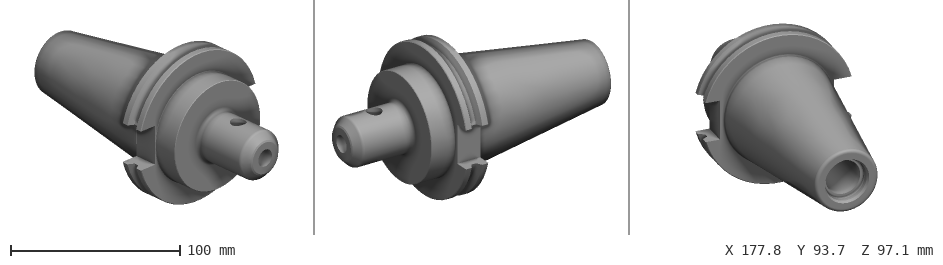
import cadquery as cq
import math

total_length = 177.8

taper_tip_radius = 20.3
tip_round = 2.1
taper_end = 102.2
neck_diameter = 70.2
neck_fillet = 0.7

flange_start = 104.5
flange_width = 16.0
flange_diameter = 97.1
flange_edge = 0.45
groove_center = 112.7
groove_mouth_width = 7.5
groove_floor_width = 3.2
groove_floor_diameter = 89.8

slot_width = 25.6
slot_floor_front = 35.2
slot_floor_back = 37.7

collar_end = 137.1
collar_diameter = 69.9
collar_edge = 0.4
collar_fillet = 0.4
shank_diameter = 31.7
shank_fillet = 2.3
nose_chamfer = 5.2
nose_blend_radius = 2.5
nose_edge = 0.5

mouth_diameter = 26.7
mouth_chamfer = 0.9
mouth_chamfer_length = 1.8
mouth_straight_end = 4.5
mouth_step_end = 5.2
mouth_inner_diameter = 26.1
mouth_depth = 6.2
draw_bore_diameter = 22.0
draw_bore_depth = 80.0
drill_point_angle = 120.0
coolant_diameter = 11.0
cross_hole_diameter = 10.0
cross_hole_x = 154.9


def turned_body():
    """Outer profile in the XY plane, revolved about X."""
    neck_radius = neck_diameter / 2
    flange_radius = flange_diameter / 2
    floor_radius = groove_floor_diameter / 2
    collar_radius = collar_diameter / 2
    shank_radius = shank_diameter / 2
    nose_radius = shank_radius - nose_chamfer
    nose_start = total_length - nose_chamfer
    blend_tangent = nose_blend_radius * math.tan(math.radians(45 / 2))
    blend_drop = blend_tangent * math.cos(math.radians(45))
    flange_end = flange_start + flange_width
    profile = (
        cq.Workplane("XY")
        .lineTo(0, taper_tip_radius - tip_round)
        .radiusArc((tip_round, taper_tip_radius), tip_round)
        .lineTo(taper_end, neck_radius)
        .lineTo(flange_start - neck_fillet, neck_radius)
        .radiusArc((flange_start, neck_radius + neck_fillet), -neck_fillet)
        .lineTo(flange_start, flange_radius - flange_edge)
        .lineTo(flange_start + flange_edge, flange_radius)
        .lineTo(groove_center - groove_mouth_width / 2, flange_radius)
        .lineTo(groove_center - groove_floor_width / 2, floor_radius)
        .lineTo(groove_center + groove_floor_width / 2, floor_radius)
        .lineTo(groove_center + groove_mouth_width / 2, flange_radius)
        .lineTo(flange_end - flange_edge, flange_radius)
        .lineTo(flange_end, flange_radius - flange_edge)
        .lineTo(flange_end, collar_radius + collar_fillet)
        .radiusArc((flange_end + collar_fillet, collar_radius), -collar_fillet)
        .lineTo(collar_end - collar_edge, collar_radius)
        .lineTo(collar_end, collar_radius - collar_edge)
        .lineTo(collar_end, shank_radius + shank_fillet)
        .radiusArc((collar_end + shank_fillet, shank_radius), -shank_fillet)
        .lineTo(nose_start - blend_tangent, shank_radius)
        .radiusArc((nose_start + blend_drop, shank_radius - blend_drop), nose_blend_radius)
        .lineTo(total_length - nose_edge, nose_radius + nose_edge)
        .lineTo(total_length, nose_radius - nose_edge)
        .lineTo(total_length, 0)
        .close()
    )
    return profile.revolve(360, (0, 0, 0), (1, 0, 0))


def axial_bore():
    """Stepped bore with a conical bottom opening into the coolant hole."""
    mouth_radius = mouth_diameter / 2
    mouth_inner_radius = mouth_inner_diameter / 2
    draw_radius = draw_bore_diameter / 2
    coolant_radius = coolant_diameter / 2
    cone_length = (draw_radius - coolant_radius) / math.tan(math.radians(drill_point_angle / 2))
    profile = (
        cq.Workplane("XY")
        .lineTo(0, mouth_radius + mouth_chamfer)
        .lineTo(mouth_chamfer_length, mouth_radius)
        .lineTo(mouth_straight_end, mouth_radius)
        .lineTo(mouth_step_end, mouth_inner_radius)
        .lineTo(mouth_depth, mouth_inner_radius)
        .lineTo(mouth_depth, draw_radius)
        .lineTo(draw_bore_depth, draw_radius)
        .lineTo(draw_bore_depth + cone_length, coolant_radius)
        .lineTo(total_length, coolant_radius)
        .lineTo(total_length, 0)
        .close()
    )
    return profile.revolve(360, (0, 0, 0), (1, 0, 0))


def drive_slot(side, floor):
    """Slot through the flange width, open outward on the given Y side."""
    slot_depth = flange_diameter / 2
    slot_center = (flange_start + flange_width / 2, side * (floor + slot_depth / 2), 0)
    return cq.Workplane("XY").box(flange_width, slot_depth, slot_width).translate(slot_center)


def cross_hole():
    """Radial hole from the top of the shank to the coolant hole."""
    return (
        cq.Workplane("XY")
        .center(cross_hole_x, 0)
        .circle(cross_hole_diameter / 2)
        .extrude(shank_diameter)
    )


result = (
    turned_body()
    .cut(drive_slot(-1, slot_floor_front))
    .cut(drive_slot(1, slot_floor_back))
    .cut(axial_bore())
    .cut(cross_hole())
)